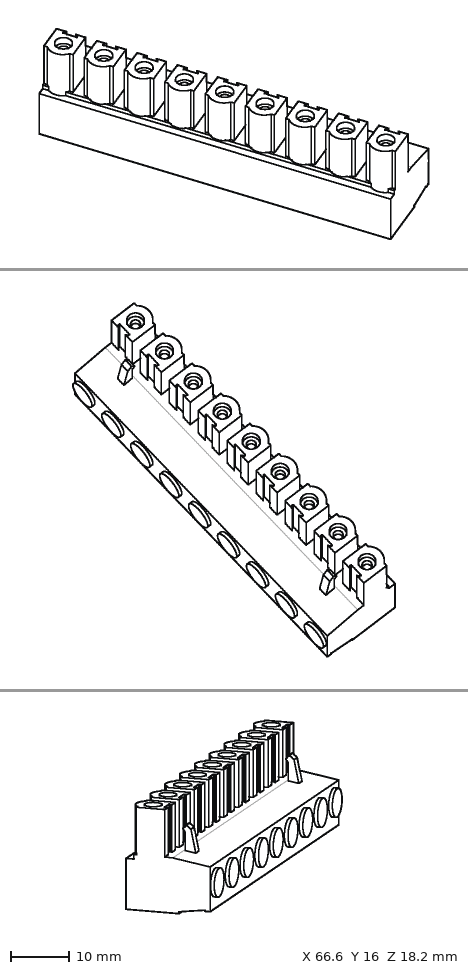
import cadquery as cq
length = 66.6
overall_depth = 16.0
overall_height = 18.2
back_y = 15.3
deck_z = 9.8
deck_back_y = 8.45
roof_back_z = 8.7
ledge_z = 9.0
ledge_depth = 1.45
floor_step_y = 9.65
floor_step_height = 0.3
heel_front_y = 14.4
heel_z = 0.8
heel_recess = 0.2

tower_count = 9
tower_width = 5.5
pitch = (length - tower_width) / (tower_count - 1)
shoulder_y = 1.9
tower_back_y = 7.05
screw_y = 4.0
front_y = 0.9
front_width = 4.25
screw_radius = 1.5
screw_depth = 1.3
pilot_radius = 0.85
pilot_depth = 1.3

groove_mouth_width = 1.7
groove_floor_width = 2.65
groove_depth = 0.6
groove_flare_depth = 0.3

latch_inset = 6.65
latch_width = 1.65
latch_front_y = 8.7
latch_back_y = 10.65
latch_shoulder = (9.8, 13.6)
latch_tip = (8.9, 14.3)
latch_nose = (8.25, 13.6)
latch_nose_base_z = 13.0

collar_radius = 2.5
collar_z = 5.4
collar_length = overall_depth - back_y

tower_centres = [tower_width / 2 + i * pitch for i in range(tower_count)]
end_centres = [tower_centres[0], tower_centres[-1]]


def extrude_side_profile(points, start_x, width):
    """Extrude a closed outline of (y, z) points along X."""
    return cq.Workplane("YZ", origin=(start_x, 0, 0)).polyline(points).close().extrude(width)


def make_housing():
    return extrude_side_profile(
        [
            (0, 0),
            (floor_step_y, 0),
            (floor_step_y, floor_step_height),
            (heel_front_y, heel_z + heel_recess),
            (heel_front_y, heel_z),
            (back_y, heel_z),
            (back_y, roof_back_z),
            (deck_back_y, deck_z),
            (ledge_depth, deck_z),
            (ledge_depth, ledge_z),
            (0, ledge_z),
        ],
        0,
        length,
    )


def make_tower(centre_x, base_z):
    """Tower with a flat back and a round front that overhangs the ledge."""
    height = overall_height - base_z
    base = cq.Workplane("XY", origin=(centre_x, 0, base_z))
    back_centre_y = (shoulder_y + tower_back_y) / 2
    block = base.center(0, back_centre_y).rect(tower_width, tower_back_y - shoulder_y).extrude(height)

    half_front = front_width / 2
    front = (
        base.moveTo(-half_front, shoulder_y)
        .threePointArc((0, front_y), (half_front, shoulder_y))
        .close()
        .extrude(height)
    )
    return block.union(front)


def make_groove(centre_x):
    mouth = groove_mouth_width / 2
    floor = groove_floor_width / 2
    flare_y = tower_back_y - groove_flare_depth
    floor_y = tower_back_y - groove_depth
    return (
        cq.Workplane("XY", origin=(centre_x, 0, deck_z))
        .polyline(
            [
                (-mouth, tower_back_y),
                (-floor, flare_y),
                (-floor, floor_y),
                (floor, floor_y),
                (floor, flare_y),
                (mouth, tower_back_y),
            ]
        )
        .close()
        .extrude(overall_height - deck_z)
    )


def make_screw_hole(centre_x):
    """Screw hole with a smaller blind pilot hole in its bottom."""
    top = cq.Workplane("XY", origin=(centre_x, screw_y, overall_height))
    screw = top.circle(screw_radius).extrude(-screw_depth)
    pilot = top.circle(pilot_radius).extrude(-(screw_depth + pilot_depth))
    return screw.union(pilot)


def make_latch(centre_x):
    """Hook rising from the roof, its nose pointing at the towers."""
    roof_slope = (deck_z - roof_back_z) / (back_y - deck_back_y)
    root_z = deck_z - roof_slope * (latch_back_y - deck_back_y)
    return extrude_side_profile(
        [
            (latch_back_y, root_z),
            latch_shoulder,
            latch_tip,
            latch_nose,
            (latch_front_y, latch_nose_base_z),
            (latch_front_y, root_z),
        ],
        centre_x - latch_width / 2,
        latch_width,
    )


def make_collar(centre_x):
    rear = cq.Workplane("XZ", origin=(centre_x, back_y, collar_z))
    return rear.circle(collar_radius).extrude(-collar_length)


body = make_housing()

for x in tower_centres:
    base_z = ledge_z if x in end_centres else deck_z
    body = body.union(make_tower(x, base_z)).union(make_collar(x))

for x in (latch_inset, length - latch_inset):
    body = body.union(make_latch(x))

for x in tower_centres:
    body = body.cut(make_groove(x)).cut(make_screw_hole(x))

result = body